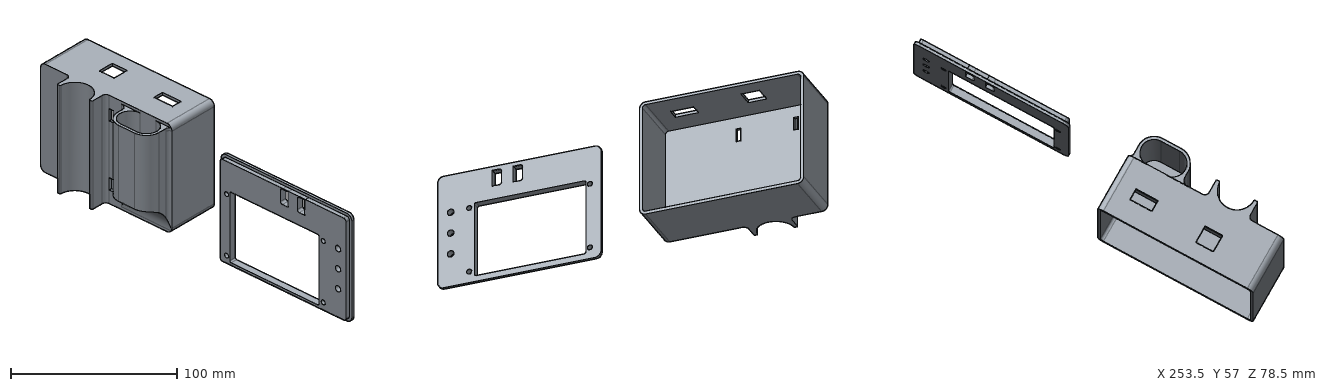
import cadquery as cq
import math


case_width = 107.0
case_height = 77.0
corner_radius = 4.0
wall = 2.0

case_depth = 38.0

clip_center_x = 38.75
clip_bore_radius = 11.75
clip_leg_thickness = 2.5
clip_half_width = clip_bore_radius + clip_leg_thickness
clip_reach = 12.0
clip_flare_radius = 3.0
clip_tip_radius = 0.75

tie_slot_width = 3.0
tie_slot_height = 8.5
tie_slot_center_offset = clip_half_width + clip_flare_radius + tie_slot_width / 2
tie_slot_spacing_z = 49.0

cup_center_x = 87.5
cup_straight = 12.9
cup_inner_radius = 8.5
cup_outer_radius = cup_inner_radius + wall
cup_center_depth = cup_inner_radius
cup_half_width = cup_straight / 2 + cup_outer_radius
cup_reach = cup_center_depth + cup_outer_radius
cup_bottom = 2.0
cup_top = case_height - cup_bottom
cup_floor = cup_bottom + cup_reach + wall
left_flare_radius = 4.75
right_flare_radius = case_width - cup_center_x - cup_half_width

window_front = 16.5
square_window = (39.0, window_front, 12.0, 11.5)
oblong_window = (85.0, window_front, 15.0, 7.5)

panel_width = 106.5
panel_height = 76.5
panel_left = 147.0
panel_bottom = -1.5
flange_thickness = 2.0
lip_thickness = 3.0
lip_inset = 2.0
lip_corner_radius = 2.0
panel_through = flange_thickness + lip_thickness

display_center = (46.2, 29.0)
display_width = 72.5
display_height = 50.0
display_corner_radius = 1.0
screw_center = (46.6, 29.4)
screw_spacing = (78.7, 43.6)
screw_diameter = 3.2

button_x = 98.0
button_center_z = 36.6
button_pitch = 14.25
button_diameter = 4.2
slot_centers_x = (54.2, 67.9)
slot_center_z = 68.5
slot_width = 6.0
slot_height = 10.8
slot_corner_radius = 1.5


def upright_block(left, bottom, width, height, front, back, radius):
    """Block between two Y planes with rounded corners in the XZ plane."""
    return (
        cq.Workplane("XY")
        .box(width, back - front, height, centered=False)
        .translate((left, front, bottom))
        .edges("|Y")
        .fillet(radius)
    )


def tube_clip():
    """Two legs around a half-round bore, flared where they join the front face."""
    flare_half_width = clip_half_width + clip_flare_radius
    leg_end = -clip_reach
    return (
        cq.Workplane("XY")
        .moveTo(-flare_half_width, wall)
        .lineTo(-flare_half_width, 0)
        .radiusArc((-clip_half_width, -clip_flare_radius), clip_flare_radius)
        .lineTo(-clip_half_width, leg_end)
        .lineTo(-clip_bore_radius, leg_end)
        .lineTo(-clip_bore_radius, -clip_bore_radius)
        .threePointArc((0, 0), (clip_bore_radius, -clip_bore_radius))
        .lineTo(clip_bore_radius, leg_end)
        .lineTo(clip_half_width, leg_end)
        .lineTo(clip_half_width, -clip_flare_radius)
        .radiusArc((flare_half_width, 0), clip_flare_radius)
        .lineTo(flare_half_width, wall)
        .close()
        .extrude(case_height)
        .faces("<Y")
        .edges("|Z")
        .fillet(clip_tip_radius)
        .translate((clip_center_x, 0, 0))
    )


def left_cup_flare():
    """Flare tangent to both the cup's left side and the front face."""
    wall_x = cup_center_x - cup_half_width
    edge_x = wall_x - left_flare_radius
    return (
        cq.Workplane("XY")
        .workplane(offset=cup_bottom)
        .moveTo(wall_x, -left_flare_radius)
        .radiusArc((edge_x, 0), -left_flare_radius)
        .lineTo(edge_x, wall)
        .lineTo(wall_x, wall)
        .close()
        .extrude(cup_top - cup_bottom)
    )


def right_flare_profile(z, edge_x):
    """Outline of the right flare at height z, ending on the case edge at edge_x."""
    wall_x = cup_center_x + cup_half_width
    return (
        cq.Workplane("XY")
        .workplane(offset=z)
        .moveTo(wall_x, -right_flare_radius)
        .radiusArc((edge_x, 0), right_flare_radius)
        .lineTo(edge_x, wall)
        .lineTo(wall_x, wall)
        .close()
    )


def right_cup_flare():
    """Short flare that ends on the case's right edge and follows its upper rounded corner."""
    corner_start = case_height - corner_radius
    corner_rise = cup_top - corner_start
    top_edge_x = case_width - corner_radius + math.sqrt(corner_radius**2 - corner_rise**2)
    lower_part = right_flare_profile(cup_bottom, case_width).extrude(corner_start - cup_bottom)
    corner_part = cq.Solid.makeLoft(
        [
            right_flare_profile(corner_start, case_width).val(),
            right_flare_profile(cup_top, top_edge_x).val(),
        ],
        True,
    )
    return lower_part.union(cq.Workplane(corner_part))


def cup_body():
    """Solid cup with flared sides, its underside swept away by a round."""
    half_straight = cup_straight / 2
    cup = (
        cq.Workplane("XY")
        .workplane(offset=cup_bottom)
        .moveTo(cup_center_x - cup_half_width, wall)
        .lineTo(cup_center_x - cup_half_width, -cup_center_depth)
        .radiusArc((cup_center_x - half_straight, -cup_reach), -cup_outer_radius)
        .lineTo(cup_center_x + half_straight, -cup_reach)
        .radiusArc((cup_center_x + cup_half_width, -cup_center_depth), -cup_outer_radius)
        .lineTo(cup_center_x + cup_half_width, wall)
        .close()
        .extrude(cup_top - cup_bottom)
    )
    underside_round = (
        cq.Workplane("YZ")
        .center(-cup_reach, cup_bottom)
        .circle(cup_reach)
        .extrude(case_width)
    )
    case_outline = upright_block(
        0, 0, case_width, case_height, -cup_reach, wall, corner_radius
    )
    body = cup.union(left_cup_flare()).union(right_cup_flare())
    return body.cut(underside_round).intersect(case_outline)


def cup_cavity():
    return (
        cq.Workplane("XY")
        .workplane(offset=cup_floor)
        .center(cup_center_x, -cup_center_depth)
        .slot2D(cup_straight + 2 * cup_inner_radius, 2 * cup_inner_radius)
        .extrude(cup_top - cup_floor)
    )


def tie_slots():
    return (
        cq.Workplane("XZ")
        .center(clip_center_x, case_height / 2)
        .rarray(2 * tie_slot_center_offset, tie_slot_spacing_z, 2, 2)
        .rect(tie_slot_width, tie_slot_height)
        .extrude(-wall)
    )


def top_window(center_x, front, width, depth):
    return (
        cq.Workplane("XY")
        .box(width, depth, wall, centered=(True, False, False))
        .translate((center_x, front, case_height - wall))
    )


def make_housing():
    box = upright_block(0, 0, case_width, case_height, 0, case_depth, corner_radius)
    interior = upright_block(
        wall, wall, case_width - 2 * wall, case_height - 2 * wall,
        wall, case_depth, corner_radius - wall,
    )
    body = box.cut(interior).union(tube_clip()).union(cup_body())
    body = body.cut(cup_cavity()).cut(tie_slots())
    for window in (square_window, oblong_window):
        body = body.cut(top_window(*window))
    return body


def panel_plane(x, z):
    """Sketch plane on the front of the lip, centered at a point on the panel."""
    return cq.Workplane(
        cq.Plane(
            origin=(panel_left + x, -lip_thickness, panel_bottom + z),
            xDir=(1, 0, 0),
            normal=(0, -1, 0),
        )
    )


def rounded_opening(center, width, height, radius, rounded_edges="|Y"):
    return (
        panel_plane(*center)
        .rect(width, height)
        .extrude(-panel_through)
        .edges(rounded_edges)
        .fillet(radius)
    )


def screw_holes():
    return (
        panel_plane(*screw_center)
        .rarray(*screw_spacing, 2, 2)
        .circle(screw_diameter / 2)
        .extrude(-panel_through)
    )


def button_holes():
    return (
        panel_plane(button_x, button_center_z)
        .rarray(1, button_pitch, 1, 3)
        .circle(button_diameter / 2)
        .extrude(-panel_through)
    )


def make_panel():
    flange = upright_block(
        panel_left, panel_bottom, panel_width, panel_height,
        0, flange_thickness, corner_radius,
    )
    lip = upright_block(
        panel_left + lip_inset, panel_bottom + lip_inset,
        panel_width - 2 * lip_inset, panel_height - 2 * lip_inset,
        -lip_thickness, 0, lip_corner_radius,
    )
    body = flange.union(lip)
    display_opening = rounded_opening(
        display_center, display_width, display_height, display_corner_radius
    )
    body = body.cut(display_opening).cut(screw_holes()).cut(button_holes())
    for slot_x in slot_centers_x:
        slot = rounded_opening(
            (slot_x, slot_center_z), slot_width, slot_height, slot_corner_radius, "|Y and <X"
        )
        body = body.cut(slot)
    return body


housing = make_housing()
panel = make_panel()

result = cq.Compound.makeCompound([*housing.solids().vals(), *panel.solids().vals()])